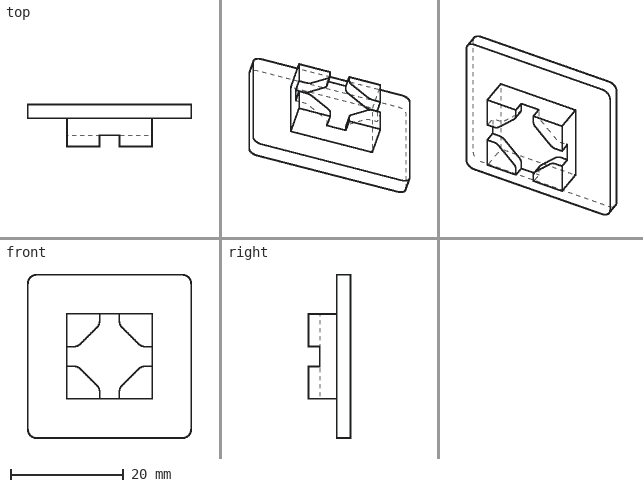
import cadquery as cq

plate_side = 29.0
plate_thickness = 2.5
plate_corner_radius = 1.6

total_depth = 7.5
boss_side = 15.08

slot_width = 3.5
recess_depth = 2.0
diagonal_start = 1.9
bend_radius = 1.5

half_boss = boss_side / 2
half_slot = slot_width / 2
front_y = -total_depth / 2
back_y = total_depth / 2
boss_depth = total_depth - plate_thickness


def block(side, rear_y, depth):
    """Square block centred on the Y axis, running from rear_y toward -Y."""
    return cq.Workplane("XZ", origin=(0, rear_y, 0)).rect(side, side).extrude(depth)


def corner_pad():
    """Raised pad left in the +X +Z corner of the boss by the recess."""
    diagonal_end = half_boss - diagonal_start
    outline = [
        (half_boss, half_boss),
        (half_slot, half_boss),
        (half_slot, diagonal_end),
        (diagonal_end, half_slot),
        (half_boss, half_slot),
    ]
    rear = cq.Workplane("XZ", origin=(0, front_y + recess_depth, 0))
    pad = rear.polyline(outline).close().extrude(recess_depth)
    for x, z in [(half_slot, diagonal_end), (diagonal_end, half_slot)]:
        bend = cq.selectors.NearestToPointSelector((x, front_y + recess_depth / 2, z))
        pad = pad.edges("|Y").edges(bend).fillet(bend_radius)
    return pad


plate = block(plate_side, back_y, plate_thickness).edges("|Y").fillet(plate_corner_radius)
boss_base = block(boss_side, back_y - plate_thickness, boss_depth - recess_depth)
result = plate.union(boss_base)
pad = corner_pad()
for quarter in range(4):
    result = result.union(pad.rotate((0, 0, 0), (0, 1, 0), 90 * quarter))